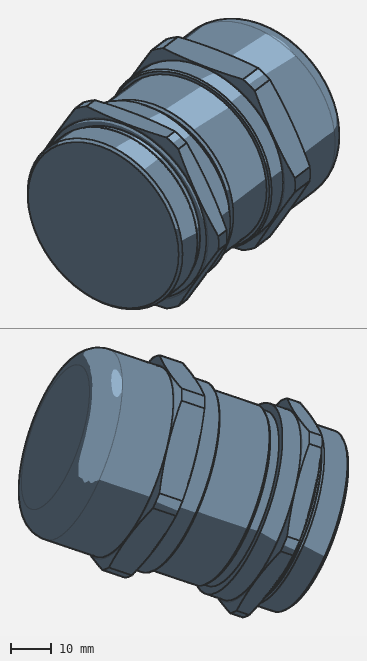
import cadquery as cq
import math

length = 69.05
thread_end = 7.45
seal_front = 8.4
body_hex_start = 9.05
body_hex_end = 14.0
collar_end = 19.05
neck_end = 21.4
sleeve_end = 36.05
cap_hex_start = 41.2
cap_hex_end = 49.0

sleeve_radius = 23.4
groove_radius = 22.65
cap_radius = 24.65

across_flats = 50.0
corner_diameter = 55.5
hex_chamfer_angle = 15.0

dome_radius = 6.0
sleeve_chamfer = 0.7
thread_back_chamfer = 0.5
cap_chamfer = 0.4


def cylinder(start, end, radius):
    """Solid cylinder about the Y axis between two stations."""
    return cq.Workplane("XZ", origin=(0, start, 0)).circle(radius).extrude(start - end)


def chamfered_hexagon(start, end):
    """Hexagon with flats facing up and down, its corners turned round and coned at both ends."""
    flat_radius = across_flats / 2
    corner_radius = corner_diameter / 2
    corner_drop = (corner_radius - flat_radius) * math.tan(math.radians(hex_chamfer_angle))
    circumscribed = across_flats / math.cos(math.radians(30))
    prism = cq.Workplane("XZ", origin=(0, start, 0)).polygon(6, circumscribed).extrude(start - end)
    envelope = (
        cq.Workplane("XY")
        .polyline([
            (0, start),
            (flat_radius, start),
            (corner_radius, start + corner_drop),
            (corner_radius, end - corner_drop),
            (flat_radius, end),
            (0, end),
        ])
        .close()
        .revolve(360, (0, 0, 0), (0, 1, 0))
    )
    return prism.intersect(envelope)


thread = cylinder(0, thread_end, sleeve_radius)
thread = thread.faces("<Y").chamfer(sleeve_chamfer)
thread = thread.faces(">Y").chamfer(thread_back_chamfer)
core = cylinder(sleeve_chamfer, sleeve_end, groove_radius)

ring_radius = (cap_radius - groove_radius) / 2
ring_center_radius = groove_radius + ring_radius
seal = (
    cq.Workplane("XY")
    .center(ring_center_radius, seal_front + ring_radius)
    .circle(ring_radius)
    .revolve(360, (-ring_center_radius, 0, 0), (-ring_center_radius, 1, 0))
)

body_hexagon = chamfered_hexagon(body_hex_start, body_hex_end)
collar = cylinder(body_hex_end, collar_end, cap_radius)

sleeve = cylinder(neck_end, sleeve_end, sleeve_radius).faces("<Y").chamfer(sleeve_chamfer)

cap = cylinder(sleeve_end, length, cap_radius)
cap = cap.faces(">Y").edges().fillet(dome_radius)
cap = cap.faces("<Y").chamfer(cap_chamfer)
cap_hexagon = chamfered_hexagon(cap_hex_start, cap_hex_end)

result = core
for section in (thread, seal, body_hexagon, collar, sleeve, cap, cap_hexagon):
    result = result.union(section)
result = result.translate((0, -length / 2, 0))